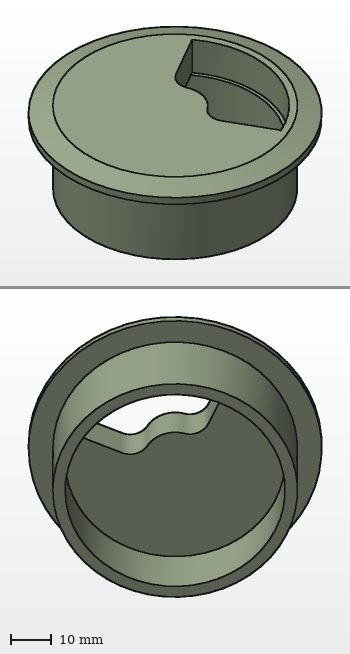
import cadquery as cq
import math

flange_radius = 36.0
barrel_radius = 30.0
total_height = 25.0
rim_height = 2.0
bevel_height = 2.0
flange_bottom = total_height - rim_height - bevel_height

cover_thickness = 10.0
cavity_radius = 27.0
cavity_height = total_height - cover_thickness

opening_radius = 28.0
sector_apex_drop = 4.6
hub_radius = 8.0
lobe_radius = 5.0


def grommet_body():
    """Barrel with a bevelled flange, revolved about Z."""
    profile = [
        (0, 0),
        (barrel_radius, 0),
        (barrel_radius, flange_bottom),
        (flange_radius, flange_bottom),
        (flange_radius, flange_bottom + rim_height),
        (barrel_radius, total_height),
        (0, total_height),
    ]
    return cq.Workplane("XZ").polyline(profile).close().revolve(360, (0, 0), (0, 1))


def opening_prism():
    """Full-height prism between the sloping sides and the wavy inner end."""
    centre_distance = hub_radius + lobe_radius
    centre_rise = lobe_radius * math.sqrt(2) - sector_apex_drop
    lobe_x = (math.sqrt(2 * centre_distance**2 - centre_rise**2) - centre_rise) / 2
    lobe_y = lobe_x + centre_rise

    side_x = lobe_x + lobe_radius * math.sqrt(0.5)
    side_y = lobe_y - lobe_radius * math.sqrt(0.5)
    hub_x = lobe_x * hub_radius / centre_distance
    hub_y = lobe_y * hub_radius / centre_distance
    lobe_bottom_y = lobe_y - lobe_radius

    outer_x = flange_radius
    outer_y = outer_x - sector_apex_drop
    return (
        cq.Workplane("XY")
        .moveTo(outer_x, outer_y)
        .lineTo(side_x, side_y)
        .threePointArc((lobe_x, lobe_bottom_y), (hub_x, hub_y))
        .threePointArc((0, hub_radius), (-hub_x, hub_y))
        .threePointArc((-lobe_x, lobe_bottom_y), (-side_x, side_y))
        .lineTo(-outer_x, outer_y)
        .close()
        .extrude(total_height)
    )


def cable_opening():
    """Wavy sector cut through the cover, bounded by the round outer wall."""
    round_wall = cq.Workplane("XY").circle(opening_radius).extrude(total_height)
    cover_space = round_wall.translate((0, 0, cavity_height))
    return opening_prism().intersect(cover_space)


def barrel_cavity():
    """Round cavity open at the bottom; its narrower wall leaves a ledge under the opening."""
    return cq.Workplane("XY").circle(cavity_radius).extrude(cavity_height)


result = grommet_body().cut(cable_opening()).cut(barrel_cavity())